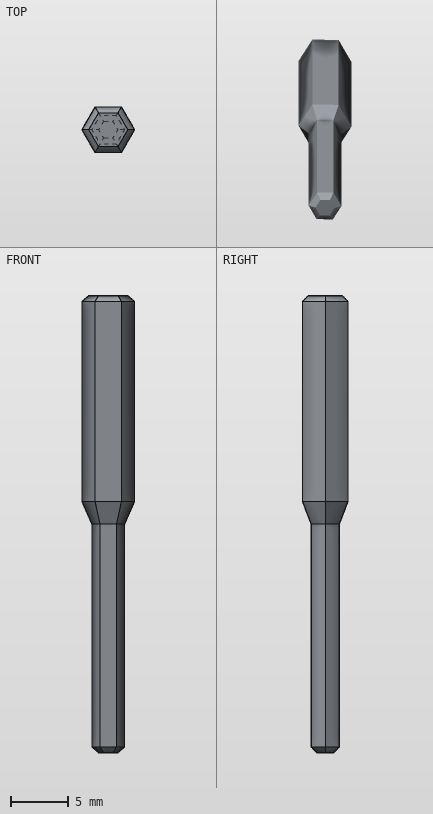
import cadquery as cq
import math

length = 40.0
shank_flats = 4.0
tip_flats = 2.5
tip_length = 20.0
taper_height = 2.0
end_chamfer = 0.5

shank_end_flats = shank_flats - 2 * end_chamfer
tip_end_flats = tip_flats - 2 * end_chamfer

corners_per_flats = 1 / math.cos(math.radians(30))


def hexagon_frustum(bottom_z, top_z, bottom_flats, top_flats):
    """Solid between two hexagons with corners on the X axis, sized across flats."""
    return (
        cq.Workplane("XY", origin=(0, 0, bottom_z))
        .polygon(6, bottom_flats * corners_per_flats)
        .workplane(offset=top_z - bottom_z)
        .polygon(6, top_flats * corners_per_flats)
        .loft(ruled=True, combine=True)
    )


sections = [
    (0.0, tip_end_flats),
    (end_chamfer, tip_flats),
    (tip_length, tip_flats),
    (tip_length + taper_height, shank_flats),
    (length - end_chamfer, shank_flats),
    (length, shank_end_flats),
]

result = cq.Workplane("XY")
for (bottom_z, bottom_flats), (top_z, top_flats) in zip(sections, sections[1:]):
    result = result.union(hexagon_frustum(bottom_z, top_z, bottom_flats, top_flats))